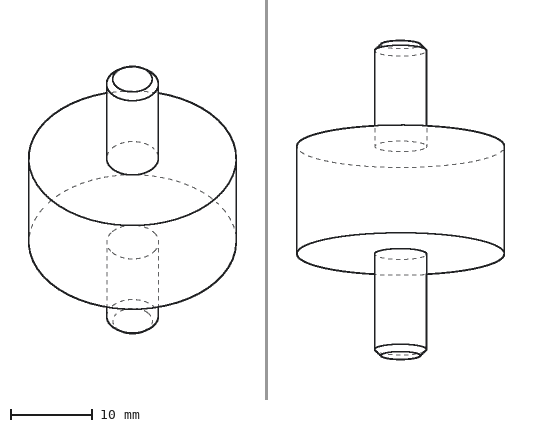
import cadquery as cq

body_diameter = 25.4
stud_diameter = 6.35
stud_length = 12.7
overall_length = 38.86
stud_chamfer = 0.762

body_height = overall_length - 2 * stud_length


def make_body():
    """Plain cylinder centred on the origin."""
    return cq.Workplane("XY").cylinder(body_height, body_diameter / 2)


def make_stud(direction):
    """Stud on the end face facing +Z (direction 1) or -Z (direction -1), chamfered at its tip."""
    tip_face = ">Z" if direction > 0 else "<Z"
    return (
        cq.Workplane("XY")
        .workplane(offset=direction * body_height / 2)
        .circle(stud_diameter / 2)
        .extrude(direction * stud_length)
        .faces(tip_face)
        .chamfer(stud_chamfer)
    )


result = make_body()
for end in (1, -1):
    result = result.union(make_stud(end))